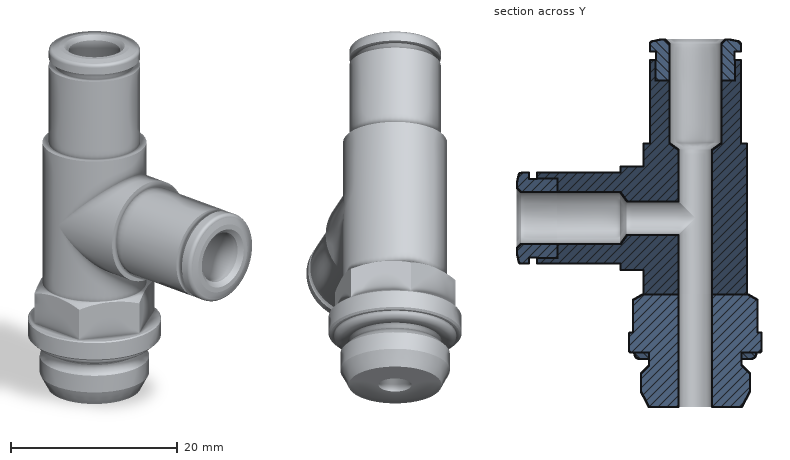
import cadquery as cq
import math

TOTAL_HEIGHT = 44.2
BRANCH_REACH = 21.5
BRANCH_Z = 22.7
PASSAGE_DIA = 4.0

STUD_TIP_DIA = 11.2
THREAD_DIA = 13.15
NECK_DIA = STUD_TIP_DIA
TIP_CONE_TOP_Z = 1.9
THREAD_TOP_Z = 4.05
NECK_BOTTOM_Z = THREAD_TOP_Z + (THREAD_DIA - NECK_DIA) / 2
FLANGE_DIA = 16.0
FLANGE_BOTTOM_Z = 6.55
FLANGE_TOP_Z = 9.0
FLANGE_BOTTOM_CHAMFER = 0.2
FLANGE_TOP_CHAMFER = 0.15
HEX_ACROSS_FLATS = 13.0
HEX_TOP_Z = 13.55
HEX_FACE_DIA = 12.75
HEX_CHAMFER_ANGLE = 30.0

SEAL_FACE_DIA = THREAD_DIA
SEAL_HEIGHT = 0.8

TEE_DIA = 12.5
SOCKET_DIA = 11.0
SOCKET_SHOULDER_DEPTH = 12.45
TUBE_DIA = 6.2
TUBE_SEAT_DEPTH = SOCKET_SHOULDER_DEPTH
SEAT_CONE_LENGTH = 0.8

COLLAR_NECK_DIA = 9.5
COLLAR_HEAD_HEIGHT = 1.5
COLLAR_GAP = 0.95
COLLAR_PLUG_LENGTH = 2.48
COLLAR_BEVEL_DIA = 10.1
COLLAR_FACE_DIA = 8.5
COLLAR_BEVEL_HEIGHT = 0.18
COLLAR_MOUTH_DIA = 7.25
COLLAR_MOUTH_DEPTH = 0.55
SOCKET_FACE_DEPTH = COLLAR_HEAD_HEIGHT + COLLAR_GAP
COLLAR_LENGTH = SOCKET_FACE_DEPTH + COLLAR_PLUG_LENGTH


def cylinder(diameter, bottom, top):
    return cq.Workplane("XY").workplane(offset=bottom).circle(diameter / 2).extrude(top - bottom)


def revolve_profile(profile):
    """Turn a closed (radius, height) profile about the Z axis."""
    return profile.close().revolve(360, (0, 0), (0, 1))


def at_run_end(part):
    """Move a part made with its outer face at Z = 0 to the top tube end."""
    return part.translate((0, 0, TOTAL_HEIGHT))


def at_branch_end(part):
    """Turn a part made with its outer face at Z = 0 towards +X, at the branch tube end."""
    return part.rotate((0, 0, 0), (0, 1, 0), 90).translate((BRANCH_REACH, 0, BRANCH_Z))


PLACE_AT_TUBE_ENDS = (at_run_end, at_branch_end)


def make_seal():
    face_radius = SEAL_FACE_DIA / 2
    diagonal = SEAL_HEIGHT * math.sqrt(0.5)
    seal_bottom = FLANGE_BOTTOM_Z - SEAL_HEIGHT
    return revolve_profile(
        cq.Workplane("XZ")
        .moveTo(NECK_DIA / 2, seal_bottom)
        .lineTo(face_radius, seal_bottom)
        .threePointArc(
            (face_radius + diagonal, FLANGE_BOTTOM_Z - diagonal),
            (face_radius + SEAL_HEIGHT, FLANGE_BOTTOM_Z),
        )
        .lineTo(NECK_DIA / 2, FLANGE_BOTTOM_Z)
    )


def make_hexagon():
    corner_dia = HEX_ACROSS_FLATS / math.cos(math.radians(30))
    height = HEX_TOP_Z - FLANGE_TOP_Z
    hexagon = cq.Workplane("XY").workplane(offset=FLANGE_TOP_Z).polygon(6, corner_dia).extrude(height)
    chamfer_drop = (corner_dia - HEX_FACE_DIA) / 2 * math.tan(math.radians(HEX_CHAMFER_ANGLE))
    envelope = revolve_profile(
        cq.Workplane("XZ")
        .moveTo(0, FLANGE_TOP_Z)
        .lineTo(corner_dia / 2, FLANGE_TOP_Z)
        .lineTo(corner_dia / 2, HEX_TOP_Z - chamfer_drop)
        .lineTo(HEX_FACE_DIA / 2, HEX_TOP_Z)
        .lineTo(0, HEX_TOP_Z)
    )
    return hexagon.intersect(envelope)


def make_stud():
    threaded_end = revolve_profile(
        cq.Workplane("XZ")
        .moveTo(0, 0)
        .lineTo(STUD_TIP_DIA / 2, 0)
        .lineTo(THREAD_DIA / 2, TIP_CONE_TOP_Z)
        .lineTo(THREAD_DIA / 2, THREAD_TOP_Z)
        .lineTo(NECK_DIA / 2, NECK_BOTTOM_Z)
        .lineTo(NECK_DIA / 2, FLANGE_BOTTOM_Z)
        .lineTo(0, FLANGE_BOTTOM_Z)
    )
    flange = (
        cylinder(FLANGE_DIA, FLANGE_BOTTOM_Z, FLANGE_TOP_Z)
        .faces("<Z").chamfer(FLANGE_BOTTOM_CHAMFER)
        .faces(">Z").chamfer(FLANGE_TOP_CHAMFER)
    )
    passage = cylinder(PASSAGE_DIA, 0, HEX_TOP_Z)
    return threaded_end.union(flange).union(make_hexagon()).cut(passage)


def make_socket():
    """Outside of one push-in socket, from its open face down to the tee shoulder."""
    return cylinder(SOCKET_DIA, -SOCKET_SHOULDER_DEPTH, -SOCKET_FACE_DEPTH)


def make_socket_bore():
    """Collar recess, tube bore and the conical seat that narrows to the passage."""
    seat_bottom = -TUBE_SEAT_DEPTH - SEAT_CONE_LENGTH
    return revolve_profile(
        cq.Workplane("XZ")
        .moveTo(0, seat_bottom)
        .lineTo(PASSAGE_DIA / 2, seat_bottom)
        .lineTo(TUBE_DIA / 2, -TUBE_SEAT_DEPTH)
        .lineTo(TUBE_DIA / 2, -COLLAR_LENGTH)
        .lineTo(COLLAR_NECK_DIA / 2, -COLLAR_LENGTH)
        .lineTo(COLLAR_NECK_DIA / 2, -SOCKET_FACE_DEPTH)
        .lineTo(0, -SOCKET_FACE_DEPTH)
    )


def make_tee():
    run_length = TOTAL_HEIGHT - SOCKET_SHOULDER_DEPTH - HEX_TOP_Z
    branch_length = BRANCH_REACH - SOCKET_SHOULDER_DEPTH
    run = cq.Workplane("XY", origin=(0, 0, HEX_TOP_Z))
    branch = cq.Workplane("YZ", origin=(0, 0, BRANCH_Z))
    tee = run.circle(TEE_DIA / 2).extrude(run_length)
    tee = tee.union(branch.circle(TEE_DIA / 2).extrude(branch_length))
    tee = tee.cut(run.circle(PASSAGE_DIA / 2).extrude(run_length))
    tee = tee.cut(branch.circle(PASSAGE_DIA / 2).extrude(branch_length))
    for place in PLACE_AT_TUBE_ENDS:
        tee = tee.union(place(make_socket())).cut(place(make_socket_bore()))
    return tee


def make_release_collar():
    """Collar with its outer face at Z = 0 and its neck pointing down."""
    head_radius = SOCKET_DIA / 2
    neck_radius = COLLAR_NECK_DIA / 2
    bevel_radius = COLLAR_BEVEL_DIA / 2
    edge_round = head_radius - bevel_radius
    diagonal = edge_round * math.sqrt(0.5)
    round_centre_z = -COLLAR_BEVEL_HEIGHT - edge_round
    return revolve_profile(
        cq.Workplane("XZ")
        .moveTo(TUBE_DIA / 2, -COLLAR_LENGTH)
        .lineTo(neck_radius, -COLLAR_LENGTH)
        .lineTo(neck_radius, -COLLAR_HEAD_HEIGHT)
        .lineTo(head_radius, -COLLAR_HEAD_HEIGHT)
        .lineTo(head_radius, round_centre_z)
        .threePointArc(
            (bevel_radius + diagonal, round_centre_z + diagonal),
            (bevel_radius, -COLLAR_BEVEL_HEIGHT),
        )
        .lineTo(COLLAR_FACE_DIA / 2, 0)
        .lineTo(COLLAR_MOUTH_DIA / 2, 0)
        .lineTo(TUBE_DIA / 2, -COLLAR_MOUTH_DEPTH)
    )


stud = make_stud()
seal = make_seal()
tee = make_tee()
release_collars = [place(make_release_collar()) for place in PLACE_AT_TUBE_ENDS]

result = cq.Compound.makeCompound(
    [stud.solids().val(), seal.val(), tee.solids().val(), *[collar.val() for collar in release_collars]]
)